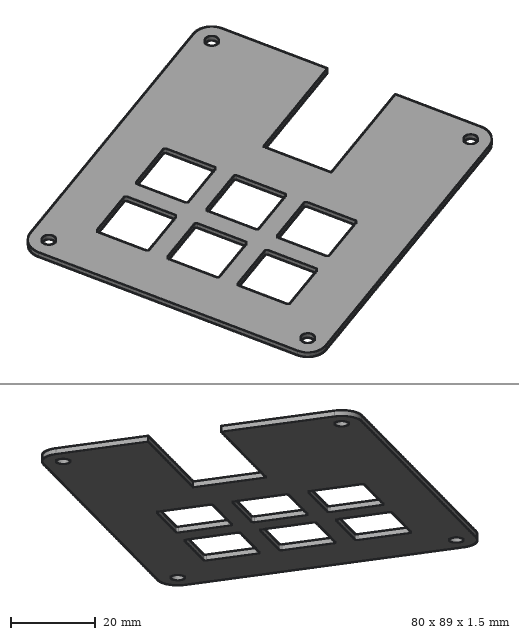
import cadquery as cq

width = 80.0
length = 89.0
thickness = 1.5
corner_radius = 5.0

hole_diameter = 3.4

notch_width = 18.3
notch_depth = 31.1
notch_center_x = 2.7

opening_size = 14.1
opening_corner_radius = 0.5
opening_pitch = 19.05
columns = 3
rows = 2
grid_center_x = -0.6
grid_center_y = -14.95


def make_plate():
    plate = cq.Workplane("XY").box(width, length, thickness, centered=(True, True, False))
    return plate.edges("|Z").fillet(corner_radius)


def make_mounting_holes():
    return (
        cq.Workplane("XY")
        .rect(width - 2 * corner_radius, length - 2 * corner_radius, forConstruction=True)
        .vertices()
        .circle(hole_diameter / 2)
        .extrude(thickness)
    )


def make_notch():
    return (
        cq.Workplane("XY")
        .center(notch_center_x, (length - notch_depth) / 2)
        .rect(notch_width, notch_depth)
        .extrude(thickness)
    )


def make_openings():
    return (
        cq.Workplane("XY")
        .center(grid_center_x, grid_center_y)
        .rarray(opening_pitch, opening_pitch, columns, rows)
        .rect(opening_size, opening_size)
        .extrude(thickness)
        .edges("|Z")
        .fillet(opening_corner_radius)
    )


result = make_plate().cut(make_mounting_holes()).cut(make_notch()).cut(make_openings())